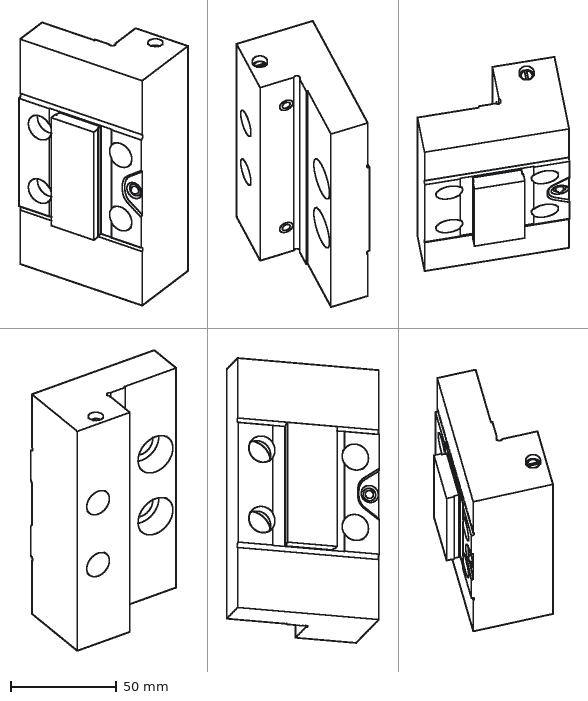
import cadquery as cq
import math


length = 124.4
width = 70.0
right_x = width / 2
end_depth = 39.2
jaw_face_x = 5.0
shelf_depth = 20.3
land_height = 0.7
land_edge_x = -5.2
relief_radius = 1.5
relief_x = jaw_face_x - 0.9
relief_depth = 18.5

pad_depth = 40.0
pad_half_length = 29.9
pad_inner_x = 17.8
floor_depth = 39.7
groove_radius = 1.4
groove_z = pad_half_length + groove_radius

boss_depth = 40.4
tongue_depth = 46.5
neck_width = 23.5
head_width = 24.4
head_thickness = 3.9

hole_radius = 6.5
hole_x = 23.1
hole_z = 17.5
bore_radius = 10.0
bore_floor_depth = 32.3

pocket_left_x = 24.3
pocket_half_height = 12.9
pocket_slope = math.radians(35)
pocket_floor_radius = 6.8
pocket_wall_angle = 45

inlet_x = 30.5
sink_radius = 4.2
inlet_radius = 3.1
inlet_face_depth = 38.5
inlet_length = 6.2
dome_radius = 2.0

plug_x = 20.4
plug_depth = 6.1
plug_radius = 3.6
plug_length = 6.2
plug_recess = 2.9
plug_chamfer = 1.0
plug_slot_width = 1.0
plug_slot_height = 1.2

nozzle_depth = 13.4
nozzle_z = 43.9
nozzle_radius = 3.4
nozzle_length = 6.2
nozzle_mouth_radius = 2.0
nozzle_cone_length = 1.2


def block_between(half_width, back_depth, front_depth, z_min, z_max):
    """Box centred on X = 0, between two depths and two Z values."""
    block = cq.Workplane("XY").box(2 * half_width, front_depth - back_depth, z_max - z_min)
    return block.translate((0, -(back_depth + front_depth) / 2, (z_min + z_max) / 2))


def rod_along_y(x, z, radius, back_depth, front_depth):
    """Cylinder along Y between two depths."""
    rod = cq.Workplane("XZ", origin=(x, -back_depth, z)).circle(radius)
    return rod.extrude(front_depth - back_depth)


def make_block():
    """L-shaped block with the land beside the jaw and the round corner relief."""
    land_y = land_height - shelf_depth
    outline = [
        (-right_x, -pad_depth),
        (right_x, -pad_depth),
        (right_x, 0),
        (jaw_face_x, 0),
        (jaw_face_x, land_y),
        (land_edge_x, land_y),
        (land_edge_x, -shelf_depth),
        (-right_x, -shelf_depth),
    ]
    block = cq.Workplane("XY").polyline(outline).close().extrude(length / 2, both=True)
    relief = cq.Workplane("XY").center(relief_x, -relief_depth).circle(relief_radius)
    return block.cut(relief.extrude(length / 2, both=True))


def shape_front(block):
    """Lower the end faces and the middle floor, add the boss and cut the cross grooves."""
    top_z = length / 2
    block = block.cut(block_between(right_x, end_depth, pad_depth, groove_z, top_z))
    block = block.cut(block_between(right_x, end_depth, pad_depth, -top_z, -groove_z))
    block = block.cut(block_between(pad_inner_x, floor_depth, pad_depth, -groove_z, groove_z))
    boss = block_between(neck_width / 2, floor_depth, boss_depth, -pad_half_length, pad_half_length)
    block = block.union(boss)
    grooves = cq.Workplane("YZ").pushPoints([(-pad_depth, -groove_z), (-pad_depth, groove_z)])
    return block.cut(grooves.circle(groove_radius).extrude(right_x, both=True))


def cut_mounting_holes(block):
    for z in (-hole_z, hole_z):
        for x in (-hole_x, hole_x):
            block = block.cut(rod_along_y(x, z, hole_radius, 0, pad_depth))
        block = block.cut(rod_along_y(-hole_x, z, bore_radius, 0, bore_floor_depth))
    return block


def make_pocket():
    """Pocket that narrows towards -X and runs out past the +X side of the housing."""
    wall_height = pad_depth - end_depth
    wall_run = wall_height * math.tan(math.radians(pocket_wall_angle))
    run_out = 2 * wall_run
    floor_left_x = pocket_left_x + wall_run
    floor_right_x = right_x + run_out
    floor_side_z = pocket_half_height - wall_run / math.cos(pocket_slope)
    right_z = floor_side_z + run_out * math.tan(pocket_slope)
    left_z = right_z - (floor_right_x - floor_left_x) * math.tan(pocket_slope)

    turn = math.pi / 2 - pocket_slope
    tangent = pocket_floor_radius * math.tan(turn / 2)
    slope_start = (
        floor_left_x + tangent * math.cos(pocket_slope),
        left_z + tangent * math.sin(pocket_slope),
    )
    arc_centre = (floor_left_x + pocket_floor_radius, left_z - tangent)
    mid_angle = math.pi - turn / 2
    arc_middle = (
        arc_centre[0] + pocket_floor_radius * math.cos(mid_angle),
        arc_centre[1] + pocket_floor_radius * math.sin(mid_angle),
    )
    floor = (
        cq.Workplane("XZ", origin=(0, -end_depth, 0))
        .moveTo(floor_right_x, -right_z)
        .lineTo(floor_right_x, right_z)
        .lineTo(*slope_start)
        .threePointArc(arc_middle, (floor_left_x, left_z - tangent))
        .lineTo(floor_left_x, tangent - left_z)
        .threePointArc((arc_middle[0], -arc_middle[1]), (slope_start[0], -slope_start[1]))
        .close()
    )
    return floor.extrude(wall_height, taper=-pocket_wall_angle)


def make_inlet_barrel():
    return rod_along_y(inlet_x, 0, inlet_radius, inlet_face_depth - inlet_length, inlet_face_depth)


def make_inlet_sink():
    """Countersink from the pocket floor down to the face of the inlet valve."""
    return cq.Workplane(
        cq.Solid.makeCone(
            sink_radius,
            inlet_radius,
            end_depth - inlet_face_depth,
            cq.Vector(inlet_x, -end_depth, 0),
            cq.Vector(0, 1, 0),
        )
    )


def make_plug_blank(top_z):
    """Cylinder that reaches from the bottom of the plug up to top_z."""
    bottom_z = length / 2 - plug_recess - plug_length
    blank = cq.Workplane("XY", origin=(plug_x, -plug_depth, bottom_z)).circle(plug_radius)
    return blank.extrude(top_z - bottom_z)


def make_nozzle_blank(z):
    blank = cq.Workplane("YZ", origin=(jaw_face_x, -nozzle_depth, z)).circle(nozzle_radius)
    return blank.extrude(nozzle_length)


def make_housing():
    block = cut_mounting_holes(shape_front(make_block()))
    block = block.cut(make_pocket()).cut(make_inlet_sink()).cut(make_inlet_barrel())
    block = block.cut(make_plug_blank(length / 2))
    for z in (-nozzle_z, nozzle_z):
        block = block.cut(make_nozzle_blank(z))
    return block


def make_tongue():
    head_back = tongue_depth - head_thickness
    neck = block_between(neck_width / 2, boss_depth, head_back, -pad_half_length, pad_half_length)
    head = block_between(head_width / 2, head_back, tongue_depth, -pad_half_length, pad_half_length)
    return neck.union(head)


def make_inlet_valve():
    """Barrel with a half-round dome on its front face."""
    dome = cq.Workplane("XY").sphere(dome_radius).translate((inlet_x, -inlet_face_depth, 0))
    return make_inlet_barrel().union(dome)


def make_plug():
    top_z = length / 2 - plug_recess
    plug = make_plug_blank(top_z).faces(">Z").chamfer(plug_chamfer)
    slot = cq.Workplane("XY", origin=(plug_x, -plug_depth, top_z))
    slot = slot.rect(plug_slot_width, 2 * plug_radius).extrude(-plug_slot_height)
    return plug.cut(slot)


def make_nozzle(z):
    """Round nozzle with a conical mouth in its outer face."""
    mouth = cq.Solid.makeCone(
        nozzle_mouth_radius,
        0,
        nozzle_cone_length,
        cq.Vector(jaw_face_x, -nozzle_depth, z),
        cq.Vector(1, 0, 0),
    )
    return make_nozzle_blank(z).cut(cq.Workplane(mouth))


housing = make_housing()
tongue = make_tongue()
inlet_valve = make_inlet_valve()
plug = make_plug()
nozzles = [make_nozzle(z) for z in (-nozzle_z, nozzle_z)]

result = cq.Compound.makeCompound(
    [
        housing.val(),
        tongue.val(),
        inlet_valve.val(),
        plug.val(),
        *[nozzle.val() for nozzle in nozzles],
    ]
)